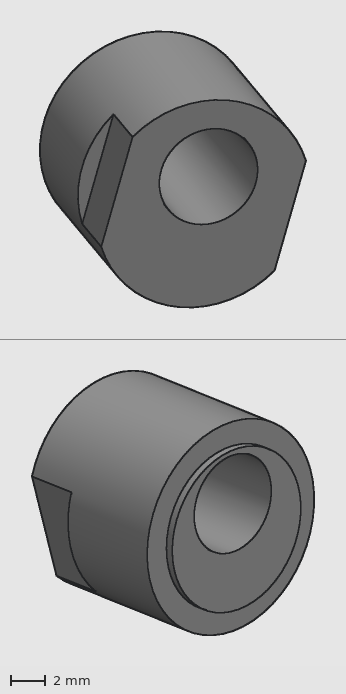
import cadquery as cq
import math

body_diameter = 13.0
body_length = 10.2
collar_diameter = 10.0
collar_length = 0.5

bore_diameter = 6.0
bore_eccentricity = 1.7
bore_angle = math.radians(10)
bore_offset_y = bore_eccentricity * math.sin(bore_angle)
bore_offset_z = bore_eccentricity * math.cos(bore_angle)

width_across_flats = 11.0
flat_length = 3.4
flat_tilt = 16.0

total_length = collar_length + body_length


def x_cylinder(diameter, x_start, length, y=0.0, z=0.0):
    """Solid cylinder parallel to X, starting at x_start."""
    return cq.Workplane("YZ", origin=(x_start, y, z)).circle(diameter / 2).extrude(length)


def flat_cutter(side):
    """Block that removes the material outside one flat; side is -1 or +1 along Y."""
    block_depth = body_diameter
    block = cq.Workplane("XY").box(flat_length, block_depth, 2 * body_diameter)
    block = block.translate((
        body_length - flat_length / 2,
        side * (width_across_flats + block_depth) / 2,
        0,
    ))
    return block.rotate((0, 0, 0), (1, 0, 0), -flat_tilt)


body = x_cylinder(body_diameter, 0, body_length)
collar = x_cylinder(collar_diameter, -collar_length, collar_length)
bore = x_cylinder(bore_diameter, -collar_length, total_length, bore_offset_y, bore_offset_z)

result = body.union(collar).cut(bore)
for flat_side in (-1, 1):
    result = result.cut(flat_cutter(flat_side))